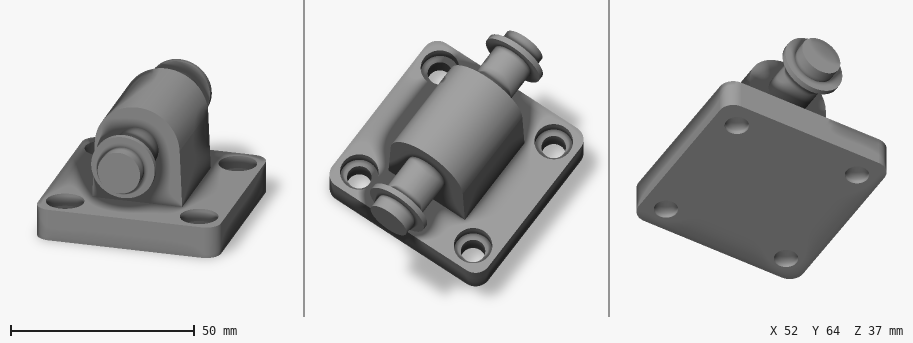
import cadquery as cq
import math

plate_side = 52.0
plate_thickness = 9.0
corner_radius = 4.2

hole_spacing = 37.95
hole_diameter = 6.65
counterbore_diameter = 10.5
counterbore_depth = 3.6

overall_height = 37.0
lug_radius = 12.0
lug_length = 28.0
lug_draft_angle = 2.5
axis_height = overall_height - lug_radius

pin_diameter = 12.0
pin_length = 64
ring_diameter = 18.0
ring_thickness = 1.6
ring_end_gap = 4.0


def make_plate():
    """Rounded square plate with a counterbored hole in each corner."""
    plate = (
        cq.Workplane("XY")
        .rect(plate_side, plate_side)
        .extrude(plate_thickness)
        .edges("|Z")
        .fillet(corner_radius)
    )
    return (
        plate.faces(">Z")
        .workplane()
        .rect(hole_spacing, hole_spacing, forConstruction=True)
        .vertices()
        .cboreHole(hole_diameter, counterbore_diameter, counterbore_depth)
    )


def make_lug():
    """Lug whose straight flanks run tangentially into its round top."""
    draft = math.radians(lug_draft_angle)
    tangent_x = lug_radius * math.cos(draft)
    tangent_z = axis_height + lug_radius * math.sin(draft)
    foot_x = tangent_x + (tangent_z - plate_thickness) * math.tan(draft)
    return (
        cq.Workplane("XZ", origin=(0, lug_length / 2, 0))
        .moveTo(-foot_x, plate_thickness)
        .lineTo(foot_x, plate_thickness)
        .lineTo(tangent_x, tangent_z)
        .threePointArc((0, overall_height), (-tangent_x, tangent_z))
        .close()
        .extrude(lug_length)
    )


def make_cylinder(diameter, length, center_y):
    """Cylinder on the pin axis, centered at the given Y."""
    return (
        cq.Workplane("XZ", origin=(0, center_y + length / 2, axis_height))
        .circle(diameter / 2)
        .extrude(length)
    )


result = make_plate().union(make_lug())
result = result.union(make_cylinder(pin_diameter, pin_length, 0))

ring_center_y = pin_length / 2 - ring_end_gap - ring_thickness / 2
for side in (-1, 1):
    ring = make_cylinder(ring_diameter, ring_thickness, side * ring_center_y)
    result = result.union(ring)